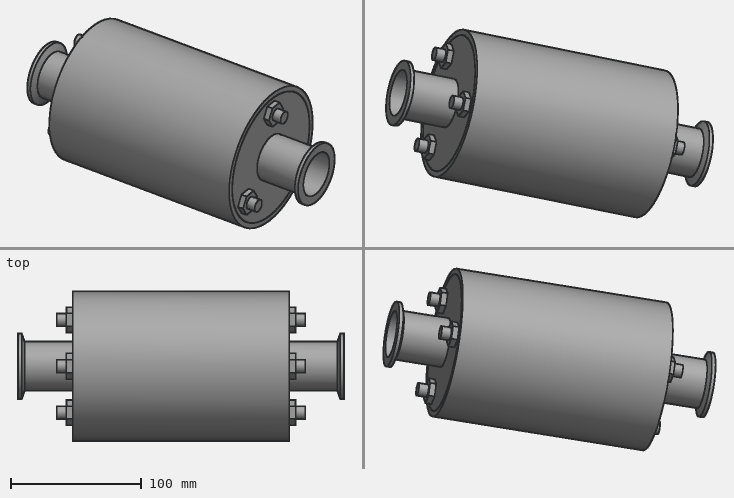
import cadquery as cq
import math

overall_length = 250.0
housing_length = 166.0

sleeve_diameter = 115.0
sleeve_bore = 106.5
core_diameter = 106.0

pipe_diameter = 38.0
pipe_bore = 35.8
flange_diameter = 50.5
flange_rim_width = 3.0
flange_width = 5.2

stud_count = 3
stud_circle_radius = 41.0
stud_diameter = 10.0
stud_protrusion = 7.5
nut_across_flats = 17.0
nut_thickness = 4.8

nut_across_corners = nut_across_flats / math.cos(math.radians(30))
half_length = overall_length / 2
half_housing = housing_length / 2


def make_sleeve():
    """Plain tube around the core, with a narrow radial clearance."""
    return (
        cq.Workplane("YZ", origin=(-half_housing, 0, 0))
        .circle(sleeve_diameter / 2)
        .circle(sleeve_bore / 2)
        .extrude(housing_length)
    )


def make_core_half():
    """Revolved half of the core, from the middle plane to the flange face at +X."""
    cone_start = half_length - flange_width
    rim_start = half_length - flange_rim_width
    return (
        cq.Workplane("XY")
        .moveTo(0, pipe_bore / 2)
        .lineTo(0, core_diameter / 2)
        .lineTo(half_housing, core_diameter / 2)
        .lineTo(half_housing, pipe_diameter / 2)
        .lineTo(cone_start, pipe_diameter / 2)
        .lineTo(rim_start, flange_diameter / 2)
        .lineTo(half_length, flange_diameter / 2)
        .lineTo(half_length, pipe_bore / 2)
        .close()
        .revolve(360, (0, 0, 0), (1, 0, 0))
    )


def make_nut_and_stud_end(angle):
    """Hexagonal nut and stud end on the +X end face, at an angle from the Y axis."""
    y = stud_circle_radius * math.cos(angle)
    z = stud_circle_radius * math.sin(angle)
    end_face = cq.Workplane("YZ", origin=(half_housing, y, z))
    nut = end_face.polygon(6, nut_across_corners).extrude(nut_thickness)
    stud_end = end_face.circle(stud_diameter / 2).extrude(nut_thickness + stud_protrusion)
    return nut.union(stud_end)


def make_core():
    """Core, pipe, flanges and fasteners as one solid, symmetric about the middle plane."""
    half = make_core_half()
    for index in range(stud_count):
        angle = math.pi / 2 + index * 2 * math.pi / stud_count
        half = half.union(make_nut_and_stud_end(angle))
    return half.union(half.mirror("YZ"))


sleeve = make_sleeve()
core = make_core()

result = cq.Compound.makeCompound([sleeve.val(), *core.vals()])